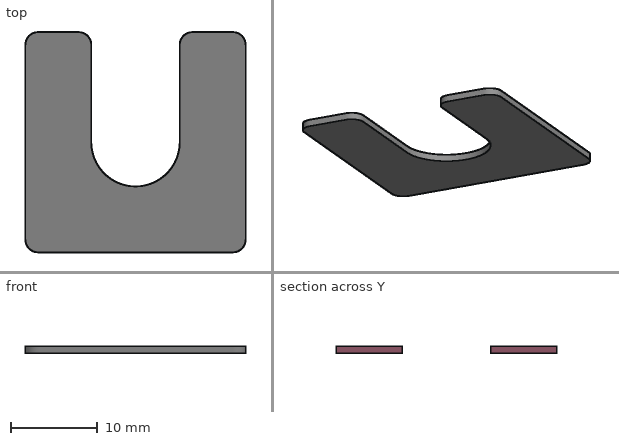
import cadquery as cq

side = 25.4
thickness = 0.81
slot_width = 10.16
corner_radius = 1.5

half_side = side / 2
slot_radius = slot_width / 2


def square_plate():
    """Square plate with sharp corners."""
    return cq.Workplane("XY").box(side, side, thickness)


def open_slot():
    """Slot open at the +Y edge, its round inner end centred on the plate."""
    return (
        cq.Workplane("XY")
        .moveTo(slot_radius, half_side)
        .lineTo(slot_radius, 0)
        .threePointArc((0, -slot_radius), (-slot_radius, 0))
        .lineTo(-slot_radius, half_side)
        .close()
        .extrude(thickness / 2, both=True)
    )


def round_corners(plate):
    """Round the upright edges at the plate corners and the slot mouth."""
    return plate.edges("|Z and (>Y or <Y)").fillet(corner_radius)


result = round_corners(square_plate().cut(open_slot()))